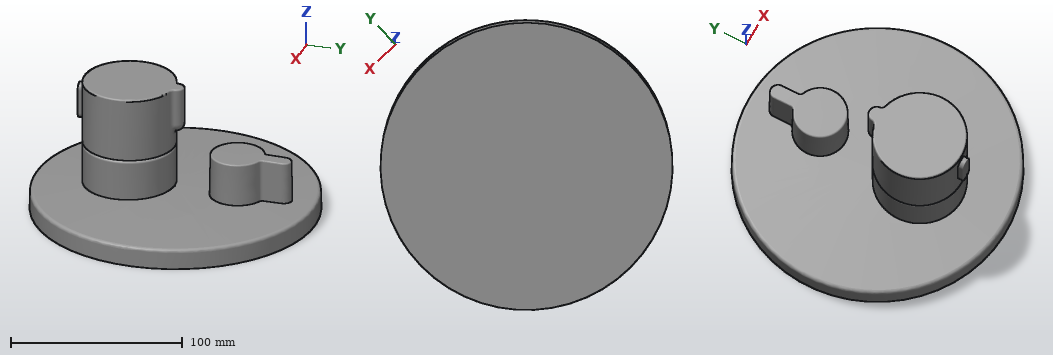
import cadquery as cq
import math

plate_radius = 85.02
plate_draft = 0.3
plate_rim_round = 2.1
plate_apex_height = 14.0
plate_dome_radius = 2000.0

base_bottom = 10.0

pick_margin = 1.0

temp_y = -28.0
temp_radius = 55.1 / 2
sleeve_top = 38.0
sleeve_round = 1.3
neck_radius = 22.5
cap_bottom = 38.9
cap_top = 77.69
cap_round = 1.1

grip_radius = 4.9
grip_y = 0.55
grip_ball_z = 54.9
grip_blend = 2.8

bar_width = 7.7
bar_bottom = 50.2
bar_top = 72.5
bar_front_y = -58.6
bar_edge_round = 0.3

flow_y = 37.9
flow_radius = 16.45
flow_bottom = 14.0
flow_apex_height = 39.75
flow_dome_radius = 1000.0
flow_draft_angle = 1.1
flow_top_round = 0.9
flow_blend = 2.2
stem_radius = 28.7 / 2
lever_half_width = 5.1
lever_tip_y = 71.05


def dome_height(apex, dome_radius, distance):
    """Height of a spherical dome at a distance from its axis."""
    return apex - dome_radius + math.sqrt(dome_radius**2 - distance**2)


def cylinder(y, radius, bottom, top):
    """Upright cylinder centred on X = 0."""
    return cq.Workplane("XY", origin=(0, y, bottom)).circle(radius).extrude(top - bottom)


def make_plate():
    rim_radius = plate_radius - plate_draft
    rim_z = dome_height(plate_apex_height, plate_dome_radius, rim_radius)
    mid_radius = rim_radius / 2
    mid_z = dome_height(plate_apex_height, plate_dome_radius, mid_radius)
    plate = (
        cq.Workplane("XZ")
        .lineTo(plate_radius, 0)
        .lineTo(rim_radius, rim_z)
        .threePointArc((mid_radius, mid_z), (0, plate_apex_height))
        .close()
        .revolve(360, (0, 0), (0, 1))
    )
    rim_edge = cq.selectors.NearestToPointSelector((0, 0, rim_z))
    return plate.edges(rim_edge).fillet(plate_rim_round)


def make_temperature_base():
    sleeve = cylinder(temp_y, temp_radius, base_bottom, sleeve_top)
    sleeve = sleeve.faces(">Z").edges().fillet(sleeve_round)
    neck = cylinder(temp_y, neck_radius, base_bottom, cap_bottom + cap_round)
    return sleeve.union(neck)


def make_temperature_cap():
    body = cylinder(temp_y, temp_radius, cap_bottom, cap_top)
    grip_end = cq.Workplane("XY").sphere(grip_radius).translate((0, grip_y, grip_ball_z))
    grip_bar = cylinder(grip_y, grip_radius, grip_ball_z, cap_top)
    cap = body.union(grip_bar.union(grip_end))
    junction = cq.selectors.BoxSelector(
        (-grip_radius - pick_margin, grip_y - grip_radius, grip_ball_z - grip_radius - pick_margin),
        (grip_radius + pick_margin, grip_y + pick_margin, cap_top - pick_margin),
    )
    cap = cap.edges(junction).fillet(grip_blend)
    return cap.faces(">Z").edges().fillet(cap_round)


def make_indicator_bar():
    length = bar_top - bar_bottom
    depth = temp_y - bar_front_y
    return (
        cq.Workplane("XZ", origin=(0, temp_y, (bar_bottom + bar_top) / 2))
        .slot2D(length, bar_width, 90)
        .extrude(depth)
        .faces("<Y")
        .edges()
        .fillet(bar_edge_round)
    )


def make_flow_knob():
    height = flow_apex_height - flow_bottom
    base = cq.Workplane("XY", origin=(0, flow_y, flow_bottom))
    body = base.circle(flow_radius).extrude(height, taper=flow_draft_angle)
    tip = lever_tip_y - flow_y
    lever = (
        base.moveTo(-lever_half_width, 0)
        .lineTo(-lever_half_width, tip - lever_half_width)
        .threePointArc((0, tip), (lever_half_width, tip - lever_half_width))
        .lineTo(lever_half_width, 0)
        .close()
        .extrude(height, taper=flow_draft_angle)
    )
    knob = body.union(lever)
    corner_y = flow_y + math.sqrt(flow_radius**2 - lever_half_width**2)
    corners = cq.selectors.BoxSelector(
        (-lever_half_width - pick_margin, corner_y - pick_margin, flow_bottom + pick_margin),
        (lever_half_width + pick_margin, corner_y + pick_margin, flow_apex_height - pick_margin),
    )
    knob = knob.edges(corners).fillet(flow_blend)
    dome = cq.Workplane("XY").sphere(flow_dome_radius)
    dome = dome.translate((0, flow_y, flow_apex_height - flow_dome_radius))
    knob = knob.intersect(dome)
    knob = knob.faces(">Z").edges().fillet(flow_top_round)
    return knob.union(cylinder(flow_y, stem_radius, base_bottom, flow_bottom))


result = (
    make_plate()
    .union(make_temperature_base())
    .union(make_temperature_cap())
    .union(make_indicator_bar())
    .union(make_flow_knob())
)